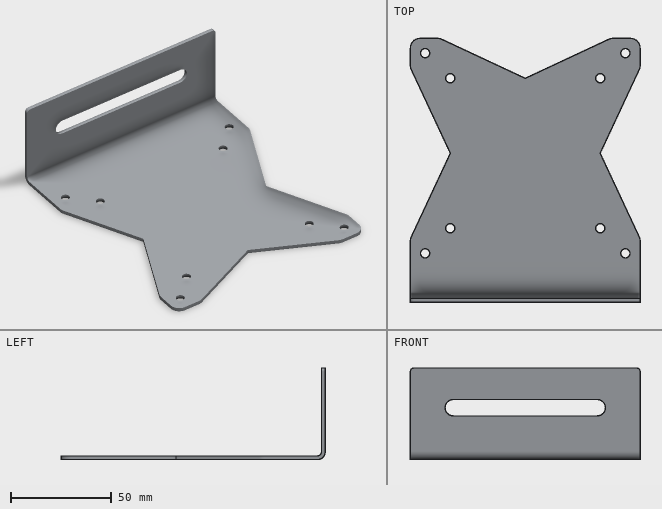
import cadquery as cq

width = 115.0
length = 132.0
height = 46.0
thickness = 2.0

inner_bend_radius = 2.0
outer_bend_radius = inner_bend_radius + thickness

half_width = width / 2
arm_half_span = 42.8
notch_distance = 37.5
plate_corner_radius = 5.0

hole_spacings = (100.0, 75.0)
hole_diameter = 4.5

flange_corner_radius = 2.0
slot_length = 80.0
slot_width = 8.0
slot_height = 26.0

front_y = half_width - length


def make_bent_sheet():
    """L-shaped sheet with concentric bend radii, symmetric about X = 0."""
    profile = (
        cq.Workplane("YZ")
        .moveTo(front_y, 0)
        .lineTo(half_width, 0)
        .lineTo(half_width, thickness)
        .lineTo(front_y + thickness, thickness)
        .lineTo(front_y + thickness, height)
        .lineTo(front_y, height)
        .close()
    )
    sheet = profile.extrude(half_width, both=True)
    inside = (0, front_y + thickness, thickness)
    outside = (0, front_y, 0)
    sheet = sheet.edges(cq.selectors.NearestToPointSelector(inside)).fillet(inner_bend_radius)
    return sheet.edges(cq.selectors.NearestToPointSelector(outside)).fillet(outer_bend_radius)


def notch(points):
    """Triangular cutter through the plate thickness."""
    return cq.Workplane("XY").polyline(points).close().extrude(thickness)


def cut_notches(sheet):
    """Cut the rear notch and the two side notches that leave the arms."""
    sheet = sheet.cut(notch([
        (-arm_half_span, half_width),
        (0, notch_distance),
        (arm_half_span, half_width),
    ]))
    for side in (-1, 1):
        sheet = sheet.cut(notch([
            (side * half_width, -arm_half_span),
            (side * notch_distance, 0),
            (side * half_width, arm_half_span),
        ]))
    return sheet


def round_corners(sheet):
    """Round every outer corner of the arms and the top flange corners."""
    mid_plate = thickness / 2
    for side in (-1, 1):
        arm_corners = [
            (side * half_width, half_width, mid_plate),
            (side * arm_half_span, half_width, mid_plate),
            (side * half_width, arm_half_span, mid_plate),
            (side * half_width, -arm_half_span, mid_plate),
        ]
        for corner in arm_corners:
            sheet = sheet.edges(cq.selectors.NearestToPointSelector(corner)).fillet(plate_corner_radius)
        top = (side * half_width, front_y + thickness / 2, height)
        sheet = sheet.edges(cq.selectors.NearestToPointSelector(top)).fillet(flange_corner_radius)
    return sheet


def drill_mounting_holes(sheet):
    for spacing in hole_spacings:
        holes = (
            cq.Workplane("XY")
            .rect(spacing, spacing, forConstruction=True)
            .vertices()
            .circle(hole_diameter / 2)
            .extrude(thickness)
        )
        sheet = sheet.cut(holes)
    return sheet


def cut_flange_slot(sheet):
    slot = (
        cq.Workplane("XZ", origin=(0, front_y, slot_height))
        .slot2D(slot_length, slot_width)
        .extrude(-thickness)
    )
    return sheet.cut(slot)


result = make_bent_sheet()
result = cut_notches(result)
result = round_corners(result)
result = drill_mounting_holes(result)
result = cut_flange_slot(result)